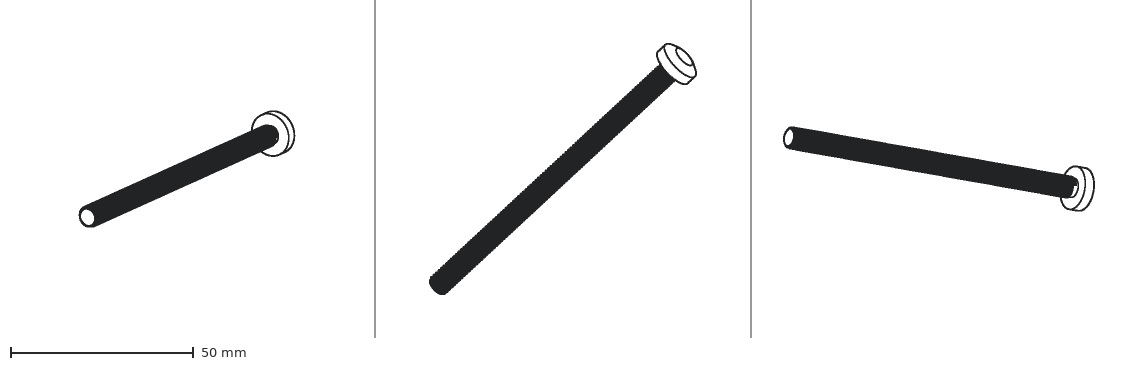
import cadquery as cq
import math

total_length = 99.6
head_diameter = 12.0
head_height = 4.6
rim_height = 3.0
dome_flat_diameter = 6.2
dome_radius = 10.0

thread_diameter = 6.0
core_diameter = 5.3
tip_diameter = 4.8
pitches_on_shank = 95
plain_pitches = 1
crest_fraction = 1 / 8
flank_angle = 60
root_overlap = 0.05

shank_length = total_length - head_height
pitch = shank_length / pitches_on_shank
top_y = total_length / 2
head_base_y = top_y - head_height
tip_y = -total_length / 2


def make_head():
    """Head with a straight rim and a dome that ends in a flat."""
    rim_radius = head_diameter / 2
    flat_radius = dome_flat_diameter / 2
    rim_y = head_base_y + rim_height
    profile = (
        cq.Workplane("XY")
        .moveTo(0, head_base_y)
        .lineTo(rim_radius, head_base_y)
        .lineTo(rim_radius, rim_y)
        .radiusArc((flat_radius, top_y), -dome_radius)
        .lineTo(0, top_y)
        .close()
    )
    return profile.revolve(360, (0, 0, 0), (0, 1, 0))


def make_core():
    """Cylinder under the thread, from the tip to the head."""
    disc = cq.Workplane("XZ", origin=(0, head_base_y, 0)).circle(core_diameter / 2)
    return disc.extrude(shank_length)


def make_thread():
    """Helical ridge of trapezoidal section, starting centred on the tip plane."""
    crest_radius = thread_diameter / 2
    root_radius = core_diameter / 2 - root_overlap
    crest_half = pitch * crest_fraction / 2
    flank_slope = math.tan(math.radians(flank_angle / 2))
    root_half = crest_half + (crest_radius - root_radius) * flank_slope
    corners = [
        (root_radius, -root_half),
        (crest_radius, -crest_half),
        (crest_radius, crest_half),
        (root_radius, root_half),
    ]

    edges = []
    for radius, shift in corners:
        helix = cq.Wire.makeHelix(pitch, pitch, radius, cq.Vector(0, 0, shift))
        edges.append(helix.Edges()[0])
    turn_faces = []
    for index, edge in enumerate(edges):
        turn_faces.append(cq.Face.makeRuledSurface(edges[index - 1], edge))

    turns = pitches_on_shank - plain_pitches
    faces = []
    for turn in range(turns):
        rise = cq.Vector(0, 0, pitch * turn)
        faces.extend(face.translate(rise) for face in turn_faces)
    outline = cq.Wire.makePolygon([edge.startPoint() for edge in edges], close=True)
    cap = cq.Face.makeFromWires(outline)
    faces.append(cap)
    faces.append(cap.translate(cq.Vector(0, 0, pitch * turns)))

    ridge = cq.Solid.makeSolid(cq.Shell.makeShell(faces))
    ridge = ridge.rotate(cq.Vector(0, 0, 0), cq.Vector(1, 0, 0), -90)
    return cq.Workplane(ridge).translate((0, tip_y, 0))


def make_tip_trim():
    """Revolved cutter that squares the tip and bevels its edge at 45 degrees."""
    tip_radius = tip_diameter / 2
    outer_radius = thread_diameter / 2 + pitch
    profile = (
        cq.Workplane("XY")
        .moveTo(0, tip_y)
        .lineTo(tip_radius, tip_y)
        .lineTo(outer_radius, tip_y + outer_radius - tip_radius)
        .lineTo(outer_radius, tip_y - pitch)
        .lineTo(0, tip_y - pitch)
        .close()
    )
    return profile.revolve(360, (0, 0, 0), (0, 1, 0))


shank = make_core().union(make_thread()).cut(make_tip_trim())
result = shank.union(make_head()).solids()